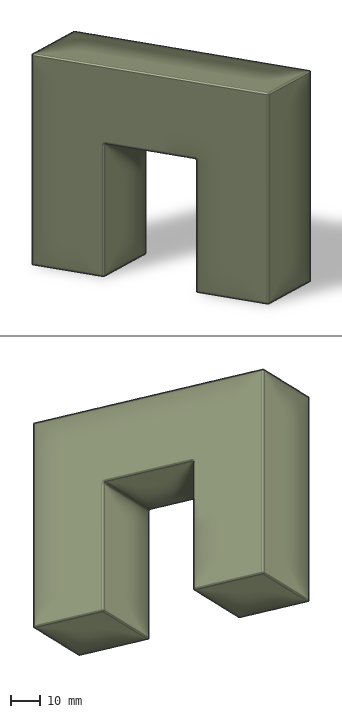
import cadquery as cq

width = 93.0
depth = 30.0
height = 76.0

leg_width = 28.5
bridge_thickness = 28.0
edge_radius = 0.6

slot_width = width - 2 * leg_width
slot_height = height - bridge_thickness

block = cq.Workplane("XY").box(width, depth, height, centered=(True, True, False))

slot = cq.Workplane("XY").box(slot_width, depth, slot_height, centered=(True, True, False))

result = block.cut(slot).edges().fillet(edge_radius)